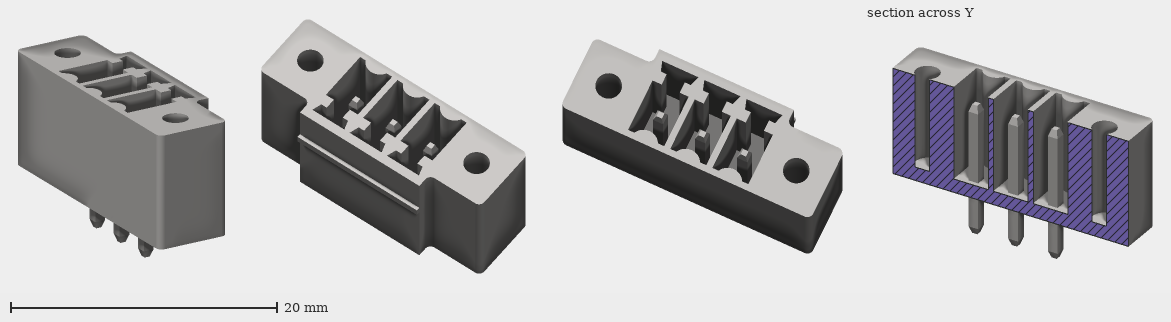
import cadquery as cq


flange_length = 20.8
flange_depth = 6.0
block_length = 11.2
block_depth = 7.25
housing_height = 9.2
corner_radius = 0.5

rib_projection = 0.3
rib_height = 0.6
rib_top_drop = 2.9

bore_diameter = 2.0
bore_spacing = 15.6
bore_depth = 8.0

pole_pitch = 3.5
pole_positions = [-pole_pitch, 0, pole_pitch]
pole_y = flange_depth / 2

floor_thickness = 1.2
pocket_width = 3.0
pocket_front_y = 0.5
pocket_rear_y = 4.8
neck_width = 1.5
neck_rear_y = 5.7
dovetail_front_width = 2.5
dovetail_rear_y = 6.5
key_radius = 1.1

pin_size = 0.85
pin_tip_size = 0.45
pin_taper_length = 0.6
pin_bottom_z = -3.4
pin_top_z = 7.8


def make_box(length, depth, height):
    """Box centred in X, with its front face on Y = 0 and its bottom on Z = 0."""
    return cq.Workplane("XY").box(length, depth, height, centered=(True, False, False))


def make_housing():
    """Flange plate and deeper middle block, with all but the rear corners rounded."""
    flange = make_box(flange_length, flange_depth, housing_height).edges("|Z").fillet(corner_radius)
    block = make_box(block_length, block_depth, housing_height)
    half_length = block_length / 2
    margin = corner_radius / 2
    inner_corners = cq.selectors.BoxSelector(
        (-half_length - margin, flange_depth - margin, 0),
        (half_length + margin, flange_depth + margin, housing_height),
    )
    return flange.union(block).edges("|Z").edges(inner_corners).fillet(corner_radius)


def make_latch_rib():
    """Bar standing proud of the rear face; its front part is buried in the block wall."""
    rib_bottom_z = housing_height - rib_top_drop - rib_height
    rib_front_y = dovetail_rear_y
    rib_depth = block_depth + rib_projection - rib_front_y
    return make_box(block_length, rib_depth, rib_height).translate((0, rib_front_y, rib_bottom_z))


def make_pocket(pole_x):
    """Plug cavity with a necked dovetail slot behind it and a round key rib left at its front."""
    depth = housing_height - floor_thickness
    half_outline = [
        (0, pocket_front_y),
        (pocket_width / 2, pocket_front_y),
        (pocket_width / 2, pocket_rear_y),
        (neck_width / 2, pocket_rear_y),
        (neck_width / 2, neck_rear_y),
        (dovetail_front_width / 2, neck_rear_y),
        (pocket_width / 2, dovetail_rear_y),
        (0, dovetail_rear_y),
    ]
    floor = cq.Workplane("XY", origin=(pole_x, 0, floor_thickness))
    pocket = floor.polyline(half_outline).mirrorY().extrude(depth)
    key = floor.circle(key_radius).extrude(depth)
    return pocket.cut(key)


def make_pin_taper(pole_x, start_z, direction):
    """Tapered pin end, pointing up for direction 1 and down for direction -1."""
    return (
        cq.Workplane("XY", origin=(pole_x, pole_y, start_z))
        .rect(pin_size, pin_size)
        .workplane(offset=direction * pin_taper_length)
        .rect(pin_tip_size, pin_tip_size)
        .loft(ruled=True)
    )


def make_pin(pole_x):
    """Square pin through the pocket floor, tapered at both ends."""
    shank_bottom_z = pin_bottom_z + pin_taper_length
    shank_top_z = pin_top_z - pin_taper_length
    shank = (
        cq.Workplane("XY", origin=(pole_x, pole_y, shank_bottom_z))
        .rect(pin_size, pin_size)
        .extrude(shank_top_z - shank_bottom_z)
    )
    lower_taper = make_pin_taper(pole_x, shank_bottom_z, -1)
    upper_taper = make_pin_taper(pole_x, shank_top_z, 1)
    return shank.union(lower_taper).union(upper_taper)


def make_flange_bores():
    """Blind bores, one in each flange, open at the top."""
    bore_points = [(-bore_spacing / 2, pole_y), (bore_spacing / 2, pole_y)]
    return (
        cq.Workplane("XY", origin=(0, 0, housing_height - bore_depth))
        .pushPoints(bore_points)
        .circle(bore_diameter / 2)
        .extrude(bore_depth)
    )


result = make_housing().union(make_latch_rib()).cut(make_flange_bores())
for x in pole_positions:
    result = result.cut(make_pocket(x)).union(make_pin(x))